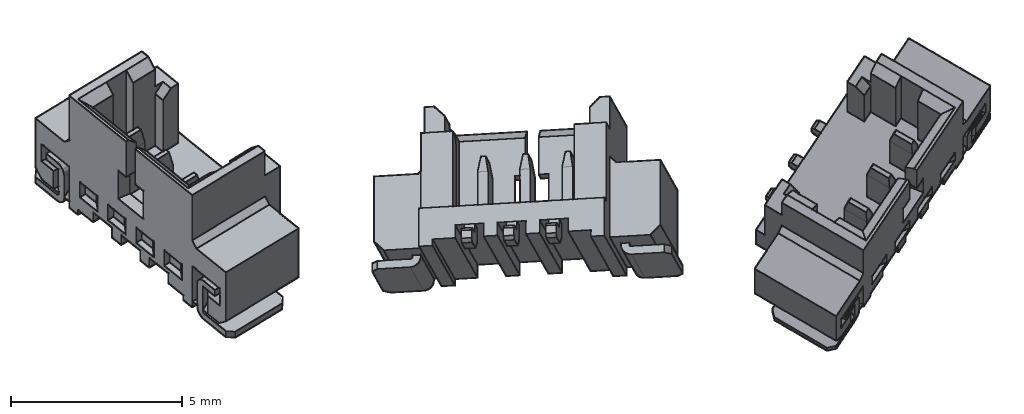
import cadquery as cq


CONTACT_PITCH = 1.255
CONTACT_COUNT = 3
CONTACT_WIDTH = 0.31

BODY_HALF = 2.75
BODY_DEPTH = 3.7
BODY_TOP = 4.7
WALL_DEPTH = 2.81
LIP_BACK = 3.4
LIP_TOP = 3.7
BASE_BOTTOM = 0.3
CORNER_FOOT_WIDTH = 0.4
CORNER_FOOT_BOTTOM = 0.11
NOTCH_WIDTH = 0.845
NOTCH_TOP = 0.7

WING_HALF = 4.25
WING_BOTTOM = 0.36
WING_TOP = 2.65
WING_CHAMFER = 0.29
GUSSET = 0.2

FLOOR = 1.28
CAVITY_HALF = 2.15
CAVITY_FRONT = 0.4
CAVITY_CHAMFER = 0.3
GROOVE_DEPTH = 0.3
GROOVE_START = 1.19
GROOVE_END = 1.96
LIP_OPENING_HALF = 1.8
SLOT_WIDTH = 0.4

WINDOW_BOTTOM = 2.1
WINDOW_TOP = 3.25
WINDOW_HALF = 0.56
WINDOW_TAPER = 0.06

RECESS_WIDTH = 0.8
RECESS_FLAT = 0.49
RECESS_SHIFT = 0.02
RECESS_DEPTH = 0.21
RECESS_BOTTOM = 0.89
RECESS_TOP = 1.51

TAB_THICKNESS = 0.25
TAB_DEPTH = 2.2
TAB_TIP = 4.45
TAB_LEG_INNER = 2.97
TAB_ARM_TIP = 3.765
TAB_TOP = 1.57
TAB_BEND = 0.31
TAB_CORNER = 0.2
TAB_LEG_OUTER = TAB_LEG_INNER + TAB_THICKNESS

FUNNEL_INSET = 0.22
FUNNEL_DEPTH = 0.22

BLADE_FRONT = 0.72
BLADE_THICKNESS = 0.78
BLADE_SHOULDER = 3.06
BLADE_TOP = 3.55
BLADE_TIP_WIDTH = 0.14
BLADE_TIP_THICKNESS = 0.62

TAIL_FOOT_HEIGHT = 0.45
TAIL_FRONT = 3.28
TAIL_BACK = 4.2
TAIL_CHAMFER = 0.11
TAIL_HEEL_LENGTH = 0.285
TAIL_HEEL_HEIGHT = 0.25

CONTACT_PLACES = [(i - (CONTACT_COUNT - 1) / 2) * CONTACT_PITCH for i in range(CONTACT_COUNT)]
RECESS_PLACES = [(i - CONTACT_COUNT / 2) * CONTACT_PITCH for i in range(CONTACT_COUNT + 1)]


def box(x0, x1, y0, y1, z0, z1):
    return cq.Workplane("XY").box(x1 - x0, y1 - y0, z1 - z0, centered=False).translate((x0, y0, z0))


def both_sides(shape):
    """The shape together with its mirror image about x = 0."""
    return shape.union(shape.mirror("YZ"))


def front_prism(points, depth):
    """An (x, z) outline carried back from the front face."""
    return cq.Workplane("XZ").polyline(points).close().extrude(-depth)


def side_prism(points, x_start, x_end):
    """A (y, z) outline carried along X."""
    return cq.Workplane("YZ").polyline(points).close().extrude(x_end - x_start).translate((x_start, 0, 0))


def make_body_block():
    block = side_prism(
        [
            (0, CORNER_FOOT_BOTTOM),
            (BODY_DEPTH, CORNER_FOOT_BOTTOM),
            (BODY_DEPTH, FLOOR),
            (LIP_BACK, FLOOR),
            (LIP_BACK, LIP_TOP),
            (WALL_DEPTH, LIP_TOP),
            (WALL_DEPTH, BODY_TOP),
            (0, BODY_TOP),
        ],
        -BODY_HALF,
        BODY_HALF,
    )
    base_half = BODY_HALF - CORNER_FOOT_WIDTH
    block = block.cut(box(-base_half, base_half, 0, BODY_DEPTH, 0, BASE_BOTTOM))
    for x in CONTACT_PLACES:
        block = block.cut(box(x - NOTCH_WIDTH / 2, x + NOTCH_WIDTH / 2, 0, BODY_DEPTH, 0, NOTCH_TOP))
    return block


def make_wing():
    return front_prism(
        [
            (BODY_HALF, WING_BOTTOM),
            (WING_HALF - WING_CHAMFER, WING_BOTTOM),
            (WING_HALF, WING_BOTTOM + WING_CHAMFER),
            (WING_HALF, WING_TOP),
            (BODY_HALF + GUSSET, WING_TOP),
            (BODY_HALF, WING_TOP + GUSSET),
        ],
        WALL_DEPTH,
    )


def make_cavity():
    groove_half = CAVITY_HALF + GROOVE_DEPTH
    cavity = box(-CAVITY_HALF, CAVITY_HALF, CAVITY_FRONT, WALL_DEPTH, FLOOR, BODY_TOP)
    grooves = box(-groove_half, groove_half, GROOVE_START, GROOVE_END, FLOOR, BODY_TOP)
    opening = box(-LIP_OPENING_HALF, LIP_OPENING_HALF, WALL_DEPTH, LIP_BACK, FLOOR, BODY_TOP)
    return cavity.union(grooves).union(opening)


def rim_outline(half_width, front):
    """Rectangular (x, y) outline from the given front to the back end of the side walls."""
    return [(-half_width, front), (half_width, front), (half_width, WALL_DEPTH), (-half_width, WALL_DEPTH)]


def make_rim_chamfers():
    """Lead-in along the front and side walls, and on the front edge of the lips."""
    top_half = CAVITY_HALF + CAVITY_CHAMFER
    top_front = CAVITY_FRONT - CAVITY_CHAMFER
    lead_in = (
        cq.Workplane("XY", origin=(0, 0, BODY_TOP - CAVITY_CHAMFER))
        .polyline(rim_outline(CAVITY_HALF, CAVITY_FRONT))
        .close()
        .workplane(offset=CAVITY_CHAMFER)
        .polyline(rim_outline(top_half, top_front))
        .close()
        .loft(ruled=True)
    )
    lip = side_prism(
        [
            (WALL_DEPTH, LIP_TOP - CAVITY_CHAMFER),
            (WALL_DEPTH + CAVITY_CHAMFER, LIP_TOP),
            (WALL_DEPTH, LIP_TOP),
        ],
        LIP_OPENING_HALF,
        CAVITY_HALF,
    )
    return lead_in.union(both_sides(lip))


def make_window():
    back_half = WINDOW_HALF - WINDOW_TAPER
    opening = (
        cq.Workplane("XY", origin=(0, 0, WINDOW_BOTTOM))
        .polyline(
            [
                (-WINDOW_HALF, 0),
                (WINDOW_HALF, 0),
                (back_half, CAVITY_FRONT),
                (-back_half, CAVITY_FRONT),
            ]
        )
        .close()
        .extrude(WINDOW_TOP - WINDOW_BOTTOM)
    )
    slot = box(-SLOT_WIDTH / 2, SLOT_WIDTH / 2, 0, CAVITY_FRONT, WINDOW_BOTTOM, BODY_TOP)
    return opening.union(slot)


def make_recess(x):
    left = x + RECESS_SHIFT - RECESS_WIDTH / 2
    return (
        cq.Workplane("XY", origin=(0, 0, RECESS_BOTTOM))
        .polyline(
            [
                (left, 0),
                (left + RECESS_WIDTH, 0),
                (left + RECESS_FLAT, RECESS_DEPTH),
                (left, RECESS_DEPTH),
            ]
        )
        .close()
        .extrude(RECESS_TOP - RECESS_BOTTOM)
    )


def slot_outline(margin):
    """Hook-shaped (x, z) outline around the tab's arm and leg, wider by the margin on every side."""
    arm_bottom = TAB_TOP - TAB_THICKNESS
    slot_bottom = WING_BOTTOM + FUNNEL_INSET
    return [
        (TAB_LEG_INNER - margin, slot_bottom - margin),
        (TAB_LEG_INNER - margin, TAB_TOP + margin),
        (TAB_ARM_TIP + margin, TAB_TOP + margin),
        (TAB_ARM_TIP + margin, arm_bottom - margin),
        (TAB_LEG_OUTER + margin, arm_bottom - margin),
        (TAB_LEG_OUTER + margin, slot_bottom - margin),
    ]


def make_tab_slot():
    funnel = (
        cq.Workplane("XZ")
        .polyline(slot_outline(FUNNEL_INSET))
        .close()
        .workplane(offset=-FUNNEL_DEPTH)
        .polyline(slot_outline(0))
        .close()
        .loft(ruled=True)
    )
    hook = front_prism(slot_outline(0), TAB_DEPTH)
    leg_passage = box(TAB_LEG_INNER, TAB_LEG_OUTER, 0, TAB_DEPTH, 0, TAB_TOP)
    return funnel.union(hook).union(leg_passage)


def make_housing():
    housing = make_body_block().union(both_sides(make_wing()))
    housing = housing.cut(make_cavity()).cut(make_rim_chamfers()).cut(make_window())
    for x in RECESS_PLACES:
        housing = housing.cut(make_recess(x))
    return housing.cut(both_sides(make_tab_slot()))


def make_tab():
    """Right-hand tab: arm in the wing, leg down through it, and foot on the mounting plane."""
    tab = front_prism(
        [
            (TAB_LEG_INNER, 0),
            (TAB_TIP, 0),
            (TAB_TIP, TAB_THICKNESS),
            (TAB_LEG_OUTER, TAB_THICKNESS),
            (TAB_LEG_OUTER, TAB_TOP - TAB_THICKNESS),
            (TAB_ARM_TIP, TAB_TOP - TAB_THICKNESS),
            (TAB_ARM_TIP, TAB_TOP),
            (TAB_LEG_INNER, TAB_TOP),
        ],
        TAB_DEPTH,
    )
    tab = tab.edges("|Y").edges("<X").fillet(TAB_BEND)
    inner_bend = cq.selectors.NearestToPointSelector((TAB_LEG_OUTER, TAB_DEPTH / 2, TAB_THICKNESS))
    tab = tab.edges(inner_bend).fillet(TAB_BEND - TAB_THICKNESS)
    return tab.edges("|Z").edges(">X").chamfer(TAB_CORNER)


def make_blade(x):
    middle = BLADE_FRONT + BLADE_THICKNESS / 2
    shank = (
        cq.Workplane("XY", origin=(x, middle, FLOOR))
        .rect(CONTACT_WIDTH, BLADE_THICKNESS)
        .extrude(BLADE_SHOULDER - FLOOR)
    )
    tip = (
        cq.Workplane("XY", origin=(x, middle, BLADE_SHOULDER))
        .rect(CONTACT_WIDTH, BLADE_THICKNESS)
        .workplane(offset=BLADE_TOP - BLADE_SHOULDER)
        .rect(BLADE_TIP_WIDTH, BLADE_TIP_THICKNESS)
        .loft(ruled=True)
    )
    return shank.union(tip)


def make_tail(x):
    """Angled tail: a stem from the notch ceiling and a foot reaching out behind the housing."""
    outline = [
        (TAIL_FRONT, NOTCH_TOP),
        (TAIL_FRONT, TAIL_HEEL_HEIGHT),
        (TAIL_FRONT + TAIL_HEEL_LENGTH, 0),
        (TAIL_BACK - TAIL_CHAMFER, 0),
        (TAIL_BACK, TAIL_CHAMFER),
        (TAIL_BACK, TAIL_FOOT_HEIGHT - TAIL_CHAMFER),
        (TAIL_BACK - TAIL_CHAMFER, TAIL_FOOT_HEIGHT),
        (BODY_DEPTH, TAIL_FOOT_HEIGHT),
        (BODY_DEPTH, NOTCH_TOP),
    ]
    return side_prism(outline, x - CONTACT_WIDTH / 2, x + CONTACT_WIDTH / 2)


housing = make_housing()
right_tab = make_tab()
tabs = [right_tab, right_tab.mirror("YZ")]
blades = [make_blade(x) for x in CONTACT_PLACES]
tails = [make_tail(x) for x in CONTACT_PLACES]

bodies = [housing, *tabs, *blades, *tails]
result = cq.Compound.makeCompound([body.solids().val() for body in bodies])